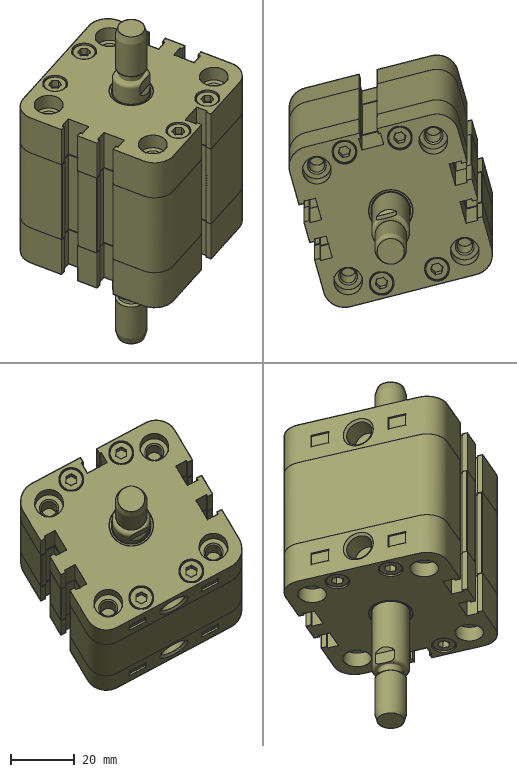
import cadquery as cq
import math


width = 54.7
half_width = width / 2
housing_height = 60.0
half_height = housing_height / 2
head_height = 14.5
barrel_height = housing_height - 2 * head_height
corner_radius = 6.9
bore_diameter = 40.0
end_wall = 3.2

slot_depth = 5.3
slot_lip = 1.8
lip_chamfer = 0.3
pair_neck_near = 3.5
pair_opening_far = 9.4
pair_inner_near = 2.8
pair_inner_far = 9.9
single_opening_half = 2.9
single_inner_half = 3.3
head_slot_relief = 0.3

mount_pitch = 38.0
mount_offset = mount_pitch / 2
mount_counterbore = 9.0
mount_counterbore_depth = 5.2
mount_hole = 5.0
mount_hole_mouth = 6.0
mount_hole_depth = 12.7

screw_x = 22.5
screw_y = 9.0
screw_recess = 7.7
screw_recess_depth = 0.4
screw_head_chamfer = 0.4
screw_socket = 3.4
screw_socket_depth = 2.5

port_z = 21.8
port_diameter = 8.5
port_mouth = 10.2
port_mouth_depth = 0.8
label_y = 13.1
label_z = 22.6
label_width = 6.0
label_height = 4.3
label_depth = 0.6

rod_diameter = 12.0
rod_length = 127.0
rod_top = 25.9
rod_bottom = rod_length - housing_height - rod_top
rod_recess_mouth = 14.0
rod_recess = 13.7
rod_recess_depth = 0.3
rod_hole_mouth = 12.6
thread_diameter = 10.0
thread_tip = 8.5
thread_tip_length = 2.7
thread_length = 15.9
neck_diameter = 7.9
neck_fillet = 0.3
neck_taper = 0.6
stud_length = 18.9
shoulder_round = 1.1
flat_width = 10.0
flat_length = 4.2
flat_runout = 1.3


def block(height):
    return (
        cq.Workplane("XY")
        .rect(width, width)
        .extrude(height)
        .edges("|Z")
        .fillet(corner_radius)
    )


def cone(diameter_low, diameter_high, z, height):
    """Cone frustum on the Z axis standing on height z."""
    return (
        cq.Workplane("XY")
        .workplane(offset=z)
        .circle(diameter_low / 2)
        .workplane(offset=height)
        .circle(diameter_high / 2)
        .loft()
    )


def cylinder(diameter, z, height):
    return cq.Workplane("XY").workplane(offset=z).circle(diameter / 2).extrude(height)


def cut_slots(body, height, relief, chamfer):
    """Two T-slots in each Y side and one in the +X side, along the full height.

    relief widens and deepens the inner part of the slots, chamfer slopes the lips of the paired slots.
    """
    lip = half_width - slot_lip
    floor = half_width - slot_depth - relief
    neck_far = pair_opening_far - chamfer
    inner_far = pair_inner_far + relief
    outline = [
        (pair_neck_near - chamfer, half_width),
        (pair_neck_near, half_width - chamfer),
        (pair_neck_near, lip),
        (pair_inner_near, lip),
        (pair_inner_near, floor),
        (inner_far, floor),
        (inner_far, lip),
        (neck_far, lip),
        (neck_far, half_width - chamfer),
        (pair_opening_far, half_width),
    ]
    if chamfer == 0:
        outline = outline[1:-1]
    pair_slot = cq.Workplane("XY").polyline(outline).close().extrude(height)
    for slot in (pair_slot, pair_slot.mirror("YZ")):
        body = body.cut(slot).cut(slot.mirror("XZ"))

    single_inner_width = 2 * (single_inner_half + relief)
    mouth = cq.Workplane("XY").box(
        half_width - floor, 2 * single_opening_half, height, centered=(False, True, False)
    )
    inner = cq.Workplane("XY").box(
        lip - floor, single_inner_width, height, centered=(False, True, False)
    )
    return body.cut(mouth.union(inner).translate((floor, 0, 0)))


def mounting_hole():
    floor = half_height - mount_counterbore_depth
    mouth_depth = (mount_hole_mouth - mount_hole) / 2
    return (
        cylinder(mount_counterbore, floor, mount_counterbore_depth)
        .union(cone(mount_hole, mount_hole_mouth, floor - mouth_depth, mouth_depth))
        .union(cylinder(mount_hole, half_height - mount_hole_depth, mount_hole_depth))
    )


def screw_cut():
    """Recess over the chamfered screw head, and its hexagon socket."""
    head_top = half_height - screw_recess_depth
    chamfer_foot = head_top - screw_head_chamfer
    head_top_diameter = screw_recess - 2 * screw_head_chamfer
    recess = cylinder(screw_recess, chamfer_foot, screw_head_chamfer + screw_recess_depth)
    recess = recess.cut(cone(screw_recess, head_top_diameter, chamfer_foot, screw_head_chamfer))
    socket = (
        cq.Workplane("XY")
        .workplane(offset=head_top)
        .polygon(6, screw_socket, circumscribed=True)
        .extrude(-screw_socket_depth)
    )
    return recess.union(socket)


def rod_recess_cut():
    """Shallow recess round the rod, and the chamfered mouth of the rod hole in its floor."""
    rim_depth = (rod_recess_mouth - rod_recess) / 2
    mouth_depth = (rod_hole_mouth - rod_diameter) / 2
    floor = half_height - rod_recess_depth
    return (
        cylinder(rod_recess, floor, rod_recess_depth)
        .union(cone(rod_recess, rod_recess_mouth, half_height - rim_depth, rim_depth))
        .union(cone(rod_diameter, rod_hole_mouth, floor - mouth_depth, mouth_depth))
    )


def port():
    along_x = cq.Workplane("YZ").workplane(offset=-half_width)
    hole = along_x.center(0, port_z).circle(port_diameter / 2).extrude(half_width)
    mouth = (
        along_x.center(0, port_z)
        .circle(port_mouth / 2)
        .workplane(offset=port_mouth_depth)
        .circle(port_diameter / 2)
        .loft()
    )
    return hole.union(mouth)


def make_head():
    """Upper cylinder head; the lower one is its mirror image."""
    bottom = half_height - head_height
    head = cut_slots(block(head_height), head_height, head_slot_relief, 0)
    head = head.translate((0, 0, bottom))
    for side_x in (-1, 1):
        for side_y in (-1, 1):
            head = head.cut(mounting_hole().translate((side_x * mount_offset, side_y * mount_offset, 0)))
            head = head.cut(screw_cut().translate((side_x * screw_x, side_y * screw_y, 0)))
    head = head.cut(port())
    label_block_depth = 2 * label_depth
    for side_y in (-1, 1):
        label = cq.Workplane("XY").box(label_block_depth, label_width, label_height)
        head = head.cut(label.translate((-half_width, side_y * label_y, label_z)))
    head = head.cut(cylinder(bore_diameter, bottom, head_height - end_wall))
    head = head.cut(cylinder(rod_diameter, bottom, head_height))
    return head.cut(rod_recess_cut())


def make_barrel():
    barrel = cut_slots(block(barrel_height), barrel_height, 0, lip_chamfer)
    barrel = barrel.translate((0, 0, -barrel_height / 2))
    return barrel.cut(cylinder(bore_diameter, -barrel_height / 2, barrel_height))


def make_piston():
    """Piston that fills the bore between the end walls of the heads."""
    half_length = half_height - end_wall
    piston = cylinder(bore_diameter, -half_length, 2 * half_length)
    return piston.cut(cylinder(rod_diameter, -half_length, 2 * half_length))


def make_rod_half(length):
    """Rod from Z = 0 up to its threaded end at the given height."""
    shoulder = length - stud_length
    rod_radius = rod_diameter / 2
    thread_radius = thread_diameter / 2
    neck_radius = neck_diameter / 2
    diagonal = math.sqrt(0.5)
    shoulder_dip = shoulder_round * (1 - diagonal)
    neck_dip = neck_fillet * (1 - diagonal)
    taper_foot = length - thread_length - neck_taper
    half = (
        cq.Workplane("XZ")
        .lineTo(rod_radius, 0)
        .lineTo(rod_radius, shoulder - shoulder_round)
        .threePointArc(
            (rod_radius - shoulder_dip, shoulder - shoulder_dip),
            (rod_radius - shoulder_round, shoulder),
        )
        .lineTo(neck_radius + neck_fillet, shoulder)
        .threePointArc(
            (neck_radius + neck_dip, shoulder + neck_dip),
            (neck_radius, shoulder + neck_fillet),
        )
        .lineTo(neck_radius, taper_foot - neck_fillet)
        .threePointArc(
            (neck_radius + neck_dip, taper_foot - neck_dip),
            (neck_radius + neck_fillet, taper_foot),
        )
        .lineTo(thread_radius, length - thread_length)
        .lineTo(thread_radius, length - thread_tip_length)
        .lineTo(thread_tip / 2, length)
        .lineTo(0, length)
        .close()
        .revolve(360, (0, 0, 0), (0, 1, 0))
    )
    flat_cut = (
        cq.Workplane("XZ")
        .moveTo(flat_width / 2, shoulder)
        .lineTo(flat_width / 2, shoulder - flat_length)
        .lineTo(rod_radius, shoulder - flat_length - flat_runout)
        .lineTo(rod_radius, shoulder)
        .close()
        .extrude(rod_radius, both=True)
    )
    return half.cut(flat_cut).cut(flat_cut.mirror("YZ"))


def make_rod():
    upper = make_rod_half(half_height + rod_top)
    lower = make_rod_half(half_height + rod_bottom).mirror("XY")
    return upper.union(lower)


upper_head = make_head()
lower_head = upper_head.mirror("XY")
barrel = make_barrel()
piston = make_piston()
rod = make_rod()

result = cq.Compound.makeCompound(
    [upper_head.val(), lower_head.val(), barrel.val(), piston.val(), rod.val()]
)